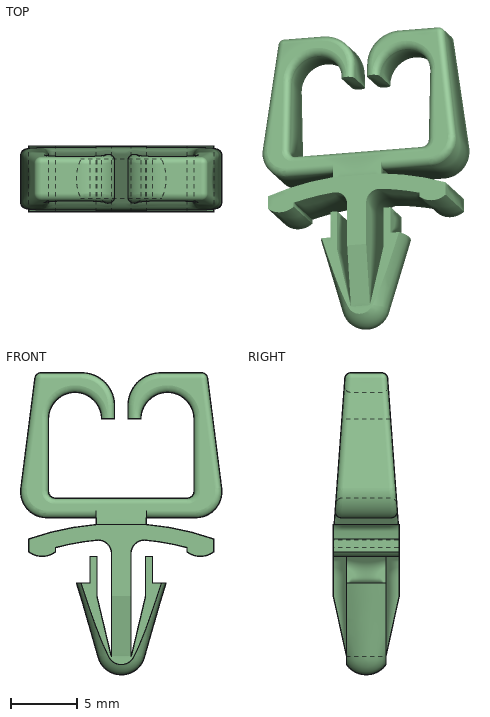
import cadquery as cq
import math

SMALL_GAP = 0.01

frame_bottom = 0.5
frame_top = 11.5
frame_half_width = 7.63
frame_top_half_width = 6.5
frame_corner_radius = 2.0
edge_radius = 0.5
window_half_width = 5.5
window_bottom = 2.0
window_corner_radius = 0.5

hook_tip = 8.0
hook_gap = 1.0
hook_thickness = 1.0
hook_outer_radius = 2.5

draft_base_half_depth = 2.44
draft_top_half_depth = 1.6

neck_half_width = 1.9

depth = 5.0
plate_half_length = 7.02
plate_thickness = 1.2
plate_top_radius = 20.6
plate_end_top = -1.1
plate_end_bottom = -2.07
bead_bottom = -2.43
bead_width = 2.05

stem_half_width = 0.75
stem_fillet = 1.0
stem_taper_start = -5.45
stem_bottom = -10.0

anchor_depth = 3.0
anchor_tip = -11.4
dome_radius_at_rim = 1.78
barb_radius = 3.4
barb_top = -4.43
arm_outer = 2.38
arm_inner = 1.83
arm_top = -2.42
arm_embed = 0.5


def both_sides(half):
    """Join a body with its mirror image across the YZ plane."""
    return half.union(half.mirror("YZ"))


def extrude_along_y(profile, total):
    """Extrude an XZ profile symmetrically about Y = 0."""
    return profile.extrude(total / 2, both=True)


def drafted_envelope():
    """Trapezoid in YZ that gives the frame and neck their front and back draft."""
    return (
        cq.Workplane("YZ")
        .moveTo(-draft_base_half_depth, 0)
        .lineTo(draft_base_half_depth, 0)
        .lineTo(draft_top_half_depth, frame_top)
        .lineTo(-draft_top_half_depth, frame_top)
        .close()
        .extrude(frame_half_width + 1, both=True)
    )


def frame_profile():
    """Right half of the frame, from the centre line round to the hook tip."""
    corner_x = frame_half_width - frame_corner_radius
    corner_z = frame_bottom + frame_corner_radius
    rise = frame_top - corner_z
    run = frame_top_half_width - corner_x
    lean = math.acos(frame_corner_radius / math.hypot(run, rise))
    tangent_angle = math.atan2(rise, run) - lean
    middle_angle = (tangent_angle - math.pi / 2) / 2

    def on_corner(angle):
        return (
            corner_x + frame_corner_radius * math.cos(angle),
            corner_z + frame_corner_radius * math.sin(angle),
        )

    tip_outer = hook_gap / 2
    tip_inner = tip_outer + hook_thickness
    window_arc_radius = (window_half_width - tip_inner) / 2
    return (
        cq.Workplane("XZ")
        .moveTo(0, frame_bottom)
        .lineTo(corner_x, frame_bottom)
        .threePointArc(on_corner(middle_angle), on_corner(tangent_angle))
        .lineTo(frame_top_half_width, frame_top)
        .lineTo(tip_outer + hook_outer_radius, frame_top)
        .radiusArc((tip_outer, frame_top - hook_outer_radius), -hook_outer_radius)
        .lineTo(tip_outer, hook_tip)
        .lineTo(tip_inner, hook_tip)
        .threePointArc(
            (tip_inner + window_arc_radius, hook_tip + window_arc_radius),
            (window_half_width, hook_tip),
        )
        .lineTo(window_half_width, window_bottom + window_corner_radius)
        .radiusArc((window_half_width - window_corner_radius, window_bottom), window_corner_radius)
        .lineTo(0, window_bottom)
        .close()
    )


def needs_rounding(edge):
    """True for the long front and back outlines and the outer top edges."""
    center = edge.Center()
    box = edge.BoundingBox()
    on_hook_end = abs(center.z - hook_tip) < SMALL_GAP and box.zlen < SMALL_GAP
    outer_top_edge = abs(center.x) > frame_top_half_width - SMALL_GAP and center.z > frame_top - SMALL_GAP
    runs_across = box.ylen > draft_top_half_depth
    return outer_top_edge or not (on_hook_end or runs_across)


def make_frame():
    frame = both_sides(extrude_along_y(frame_profile(), 2 * depth)).clean()
    frame = frame.intersect(drafted_envelope())
    rounded = [edge for edge in frame.edges().vals() if needs_rounding(edge)]
    return frame.newObject(rounded).fillet(edge_radius - SMALL_GAP)


def make_neck():
    height = window_bottom - edge_radius
    block = cq.Workplane("XY").box(2 * neck_half_width, 2 * depth, height, centered=(True, True, False))
    return block.intersect(drafted_envelope())


def plate_drop(radius, x):
    """Fall of an arc of the given radius below its crown at distance x."""
    return radius - math.sqrt(radius**2 - x**2)


def make_plate():
    """Bowed plate with a bead under each end."""
    crown = plate_drop(plate_top_radius, neck_half_width)
    under_radius = plate_top_radius - plate_thickness
    bead_inner = plate_half_length - bead_width
    under_end = crown - plate_thickness - plate_drop(under_radius, bead_inner)
    half = (
        cq.Workplane("XZ")
        .moveTo(0, 0)
        .lineTo(neck_half_width, 0)
        .radiusArc((plate_half_length, plate_end_top), plate_top_radius)
        .lineTo(plate_half_length, plate_end_bottom)
        .threePointArc((plate_half_length - bead_width / 2, bead_bottom), (bead_inner, plate_end_bottom))
        .lineTo(bead_inner, under_end)
        .radiusArc((0, crown - plate_thickness), -under_radius)
        .close()
    )
    return both_sides(extrude_along_y(half, depth))


def make_stem():
    """Flat stem whose front and back close in to the anchor depth."""
    side = (
        cq.Workplane("YZ")
        .moveTo(-depth / 2, -plate_thickness / 2)
        .lineTo(depth / 2, -plate_thickness / 2)
        .lineTo(depth / 2, stem_taper_start)
        .lineTo(anchor_depth / 2, stem_bottom)
        .lineTo(-anchor_depth / 2, stem_bottom)
        .lineTo(-depth / 2, stem_taper_start)
        .close()
    )
    return side.extrude(stem_half_width, both=True)


def make_anchor():
    """Turned barb with a domed tip, cut flat front and back, with upright arms."""
    rim_to_tip = stem_bottom - anchor_tip
    dome_radius = (dome_radius_at_rim**2 + rim_to_tip**2) / (2 * rim_to_tip)
    barb = (
        cq.Workplane("XZ")
        .moveTo(0, barb_top)
        .lineTo(barb_radius, barb_top)
        .lineTo(dome_radius_at_rim, stem_bottom)
        .radiusArc((0, anchor_tip), dome_radius)
        .close()
        .revolve(360, (0, 0, 0), (0, 1, 0))
    )
    flats = cq.Workplane("XY").box(4 * barb_radius, anchor_depth, 4 * abs(anchor_tip))
    arm_foot = barb_top - arm_embed
    arms = cq.Workplane("XY", origin=(0, 0, arm_foot)).box(
        2 * arm_outer, anchor_depth, arm_top - arm_foot, centered=(True, True, False)
    )
    hollow = (
        cq.Workplane("XZ")
        .moveTo(-arm_inner, arm_top)
        .lineTo(arm_inner, arm_top)
        .lineTo(arm_inner, stem_taper_start)
        .lineTo(stem_half_width, stem_bottom)
        .lineTo(-stem_half_width, stem_bottom)
        .lineTo(-arm_inner, stem_taper_start)
        .close()
    )
    return barb.intersect(flats).union(arms).cut(extrude_along_y(hollow, depth))


def make_base():
    """Plate and stem joined with rounded inner corners."""
    base = make_plate().union(make_stem())
    corner_zone = cq.selectors.BoxSelector(
        (-stem_half_width - SMALL_GAP, -depth, -2 * plate_thickness),
        (stem_half_width + SMALL_GAP, depth, -plate_thickness / 2),
    )
    return base.edges("|Y").edges(corner_zone).fillet(stem_fillet)


result = make_base().union(make_anchor()).union(make_neck()).union(make_frame())